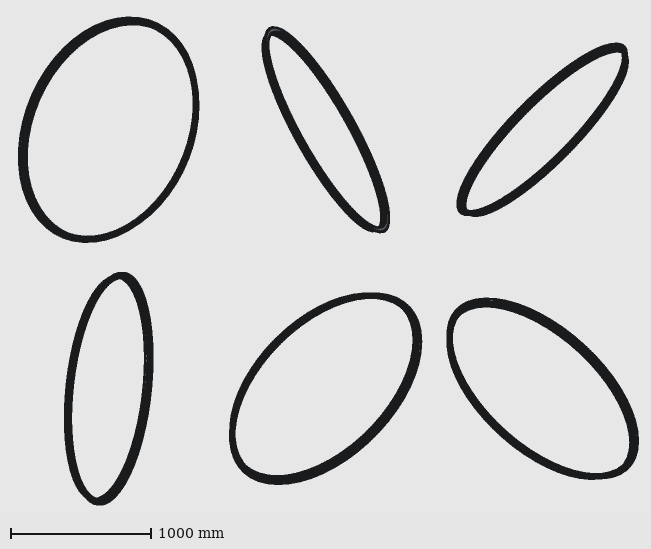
import cadquery as cq
import math

outer_radius = 831.0
body_radius = 800.0
bore_radius = 795.0
width = 47.0

rim_x = 3.0
rim_bevel_height = 5.0
lip_tip_x = 17.0
lip_tip_radius = 820.0
lip_tip_height = 2.0
neck_x = 12.0
neck_radius = 815.0
shoulder_x = 17.0
shoulder_radius = 808.0

bead_start_x = 25.0
bead_width = 5.0
bead_height = 3.0

groove_start_x = 13.0
groove_width = 13.0
groove_depth = 2.0

split_gap = 3.0

bead_end_x = bead_start_x + bead_width
groove_end_x = groove_start_x + groove_width
groove_radius = bore_radius + groove_depth
bead_radius = body_radius + bead_height

section = [
    (0, bore_radius),
    (0, outer_radius - rim_bevel_height),
    (rim_x, outer_radius),
    (lip_tip_x, lip_tip_radius),
    (lip_tip_x, lip_tip_radius - lip_tip_height),
    (neck_x, neck_radius),
    (shoulder_x, shoulder_radius),
    (shoulder_x, body_radius),
    (bead_start_x, body_radius),
    (bead_start_x, bead_radius),
    (bead_end_x, body_radius),
    (width, body_radius),
    (width, bore_radius),
    (groove_end_x, bore_radius),
    (groove_end_x, groove_radius),
    (groove_start_x, groove_radius),
    (groove_start_x, bore_radius),
]

gap_angle = math.degrees(split_gap / outer_radius)

result = (
    cq.Workplane("XY")
    .polyline(section)
    .close()
    .revolve(360 - gap_angle, (0, 0, 0), (1, 0, 0))
    .rotate((0, 0, 0), (1, 0, 0), gap_angle / 2)
)